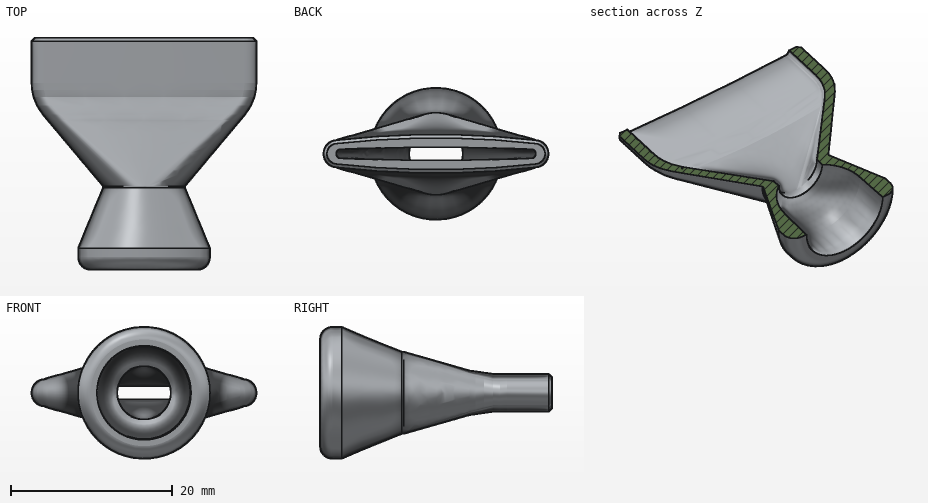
import cadquery as cq
import math

LENGTH = 28.67
HALF_WIDTH = 13.9
WALL = 1.58

LIP_RADIUS = 6.6
RIM_DIAMETER = 16.3
RIM_RADIUS = RIM_DIAMETER / 2
RIM_ROUND_END = 1.6
LIP_MID_ANGLE = math.radians(45)
RIM_BACK = 2.67
NECK_RADIUS = 5.07
NECK_Y = 10.35
NECK_LAND = 0.23

MOUTH_RADIUS = 5.82
BALL_RADIUS = 5.7
BALL_CENTER_Y = 4.6
THROAT_RADIUS = 3.3

SHOULDER_Y = 18.5
SHOULDER_HALF_HEIGHT = 2.75
MOUTH_BAND_Y = 21.35
MOUTH_HALF_HEIGHT = 2.38
EDGE_ROUND = 1.7
SHOULDER_EDGE_ROUND = 2.4
SIDE_TANGENT_Y = 23.08
SIDE_ANGLE = math.radians(40)
END_CHAMFER = 0.43
NECK_TANGENT_ANGLE = math.radians(4)

BORE_EDGE_ROUND = 0.57

SIDE_CORNER_Y = NECK_Y + (HALF_WIDTH - NECK_RADIUS) / math.tan(SIDE_ANGLE)
SIDE_RADIUS = (SIDE_TANGENT_Y - SIDE_CORNER_Y) / math.tan(SIDE_ANGLE / 2)
FLARE_END_Y = SIDE_TANGENT_Y - SIDE_RADIUS * math.sin(SIDE_ANGLE)


def half_width(y):
    """Half width of the fan: straight flare, tangent arc, straight mouth."""
    if y <= FLARE_END_Y:
        return NECK_RADIUS + (y - NECK_Y) * math.tan(SIDE_ANGLE)
    if y < SIDE_TANGENT_Y:
        rise = SIDE_TANGENT_Y - y
        return HALF_WIDTH - SIDE_RADIUS + math.sqrt(SIDE_RADIUS**2 - rise**2)
    return HALF_WIDTH


def half_height(y):
    """Half height of the fan: a steep slope, a gentle slope, then constant."""
    if y <= SHOULDER_Y:
        part = (y - NECK_Y) / (SHOULDER_Y - NECK_Y)
        return NECK_RADIUS + part * (SHOULDER_HALF_HEIGHT - NECK_RADIUS)
    part = min(1, (y - SHOULDER_Y) / (MOUTH_BAND_Y - SHOULDER_Y))
    return SHOULDER_HALF_HEIGHT + part * (MOUTH_HALF_HEIGHT - SHOULDER_HALF_HEIGHT)


def section_wire(y, width, height, tangent_x, tangent_z):
    """Closed section of four arcs: crowned top and bottom with rounded edges."""
    outline = (
        cq.Workplane("XZ", origin=(0, y, 0))
        .moveTo(-tangent_x, tangent_z)
        .threePointArc((0, height), (tangent_x, tangent_z))
        .threePointArc((width, 0), (tangent_x, -tangent_z))
        .threePointArc((0, -height), (-tangent_x, -tangent_z))
        .threePointArc((-width, 0), (-tangent_x, tangent_z))
        .close()
    )
    return outline.val()


def round_section(y, radius):
    tangent_x = radius * math.sin(NECK_TANGENT_ANGLE)
    tangent_z = radius * math.cos(NECK_TANGENT_ANGLE)
    return section_wire(y, radius, radius, tangent_x, tangent_z)


def lens_section(y, width, height, edge_round):
    """Flattened section whose crown arcs are tangent to the edge rounds."""
    edge_x = width - edge_round
    crown = (edge_x**2 + height**2 - edge_round**2) / (2 * (height - edge_round))
    scale = edge_round / (crown - edge_round)
    tangent_x = edge_x * (1 + scale)
    tangent_z = (crown - height) * scale
    return section_wire(y, width, height, tangent_x, tangent_z)


def fan(neck_radius, inset, shoulder_round, edge_round, end_chamfer):
    """Loft from the round neck to the flat mouth, inset from the outer surface."""
    arc_middle_y = (MOUTH_BAND_Y + FLARE_END_Y) / 2
    arc_late_y = (MOUTH_BAND_Y + SIDE_TANGENT_Y) / 2
    stations = [SHOULDER_Y, FLARE_END_Y, arc_middle_y, MOUTH_BAND_Y, arc_late_y,
                SIDE_TANGENT_Y, LENGTH - end_chamfer]
    wires = [round_section(NECK_Y, neck_radius)]
    for y in stations:
        part = min(1, (y - SHOULDER_Y) / (MOUTH_BAND_Y - SHOULDER_Y))
        corner = shoulder_round + part * (edge_round - shoulder_round)
        wires.append(lens_section(y, half_width(y) - inset, half_height(y) - inset, corner))
    if end_chamfer:
        end_inset = inset + end_chamfer
        wires.append(lens_section(LENGTH, HALF_WIDTH - end_inset,
                                  MOUTH_HALF_HEIGHT - end_inset, edge_round - end_chamfer))
    return cq.Workplane(cq.Solid.makeLoft(wires, True))


def revolve_about_y(profile):
    return profile.close().revolve(360, (0, 0, 0), (0, 1, 0))


def socket_body():
    run = RIM_RADIUS - LIP_RADIUS
    round_mid = (LIP_RADIUS + run * math.sin(LIP_MID_ANGLE),
                 RIM_ROUND_END * (1 - math.cos(LIP_MID_ANGLE)))
    return revolve_about_y(
        cq.Workplane("XY")
        .lineTo(LIP_RADIUS, 0)
        .threePointArc(round_mid, (RIM_RADIUS, RIM_ROUND_END))
        .lineTo(RIM_RADIUS, RIM_BACK)
        .lineTo(NECK_RADIUS, NECK_Y - NECK_LAND)
        .lineTo(NECK_RADIUS, NECK_Y)
        .lineTo(0, NECK_Y)
    )


def socket_bore():
    ball_end_y = BALL_CENTER_Y + math.sqrt(BALL_RADIUS**2 - THROAT_RADIUS**2)
    mid_angle = math.acos(THROAT_RADIUS / BALL_RADIUS) / 2
    ball_mid = (BALL_RADIUS * math.cos(mid_angle),
                BALL_CENTER_Y + BALL_RADIUS * math.sin(mid_angle))
    return revolve_about_y(
        cq.Workplane("XY")
        .lineTo(MOUTH_RADIUS, 0)
        .lineTo(BALL_RADIUS, BALL_CENTER_Y)
        .threePointArc(ball_mid, (THROAT_RADIUS, ball_end_y))
        .lineTo(THROAT_RADIUS, NECK_Y)
        .lineTo(0, NECK_Y)
    )


outer_fan = fan(NECK_RADIUS, 0, SHOULDER_EDGE_ROUND, EDGE_ROUND, END_CHAMFER)
body = socket_body().union(outer_fan)
passage = fan(THROAT_RADIUS, WALL, BORE_EDGE_ROUND, BORE_EDGE_ROUND, 0)
result = body.cut(socket_bore()).cut(passage)